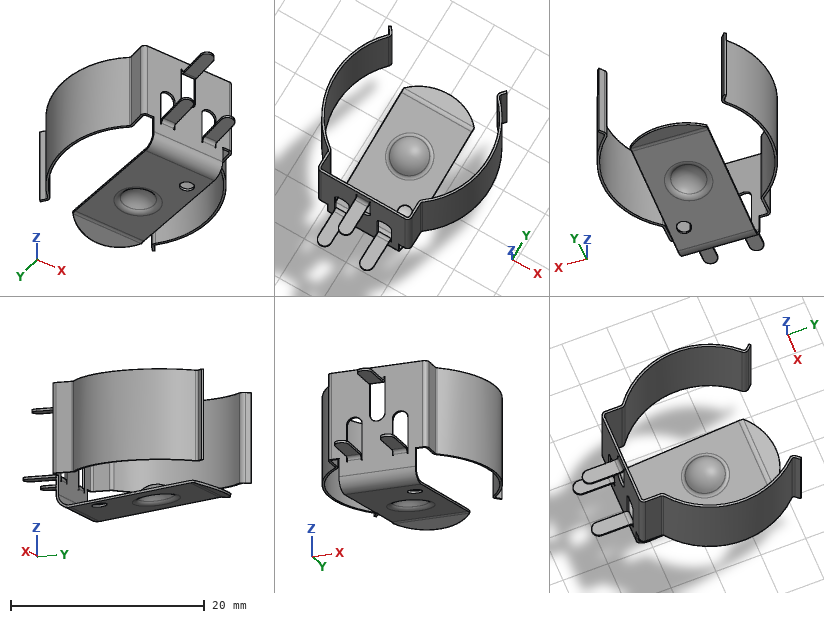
import cadquery as cq
import math

sheet = 0.25
overall_length = 21.55

band_height = 9.5
arc_outer_radius = 9.3
back_y = -9.87
neck_width = 11.11
band_bend = 0.39
arc_tip_angle = 43.9
tip_turn = 84

tongue_width = 8.47
tongue_drop = 2.02
tongue_bend = 1.3
tongue_rise = 7
tongue_length = 13.35
lip_slope = 15
lip_length = 2.0

dome_y = -0.43
dome_sphere_radius = 2.5
dome_foot_radius = 2.5
dome_fillet = 0.5
hole_y = -5.73
hole_diameter = 1.55

pin_pitch = 2.55
pin_width = 1.53
pin_tip_y = -14.09
pin_bend = 0.52
lower_pin_z = 0.13
upper_pin_z = 7.73
slot_width = 1.72
slot_length = 4.78
slot_relief = 0.09

back_mid_y = back_y + sheet / 2


def follow_sheet(start, heading, steps):
    """Walk the middle of a folded sheet; steps are ("line", length) or ("bend", radius, turn).

    Angles are in degrees, positive turns go left. Returns the closed outline of the
    sheet's cross-section as (first point, edges) and the end position and heading.
    """
    def point(centre, distance, angle):
        direction = math.radians(angle)
        return (centre[0] + distance * math.cos(direction), centre[1] + distance * math.sin(direction))

    def sides(position, angle):
        return point(position, sheet / 2, angle + 90), point(position, sheet / 2, angle - 90)

    position = start
    left_start, right_start = sides(start, heading)
    left_edges = []
    right_edges = []
    right_previous = right_start
    for step in steps:
        middle = None
        if step[0] == "line":
            position = point(position, step[1], heading)
        else:
            radius, turn = step[1:]
            inward = heading + math.copysign(90, turn)
            centre = point(position, radius, inward)
            middle = sides(point(centre, radius, inward + 180 + turn / 2), heading + turn / 2)
            position = point(centre, radius, inward + 180 + turn)
            heading += turn
        left, right = sides(position, heading)
        left_edges.append((middle[0] if middle else None, left))
        right_edges.insert(0, (middle[1] if middle else None, right_previous))
        right_previous = right
    edges = left_edges + [(None, right_previous)] + right_edges
    return (left_start, edges), position, heading


def draw_outline(workplane, outline):
    first, edges = outline
    sketch = workplane.moveTo(*first)
    for middle, end in edges:
        sketch = sketch.threePointArc(middle, end) if middle else sketch.lineTo(*end)
    return sketch.close()


def make_band():
    """Back wall, side walls and the two sprung arms, as a half and its mirror image."""
    arc_radius = arc_outer_radius - sheet / 2
    wall_x = (neck_width - sheet) / 2
    neck_angle = math.acos((wall_x + band_bend) / (arc_radius + band_bend))
    neck_y = -(arc_radius + band_bend) * math.sin(neck_angle)
    neck_turn = math.degrees(neck_angle)
    steps = [
        ("line", wall_x - band_bend),
        ("bend", band_bend, -90),
        ("line", neck_y - back_mid_y - band_bend),
        ("bend", band_bend, neck_turn),
        ("bend", arc_radius, -(neck_turn + arc_tip_angle)),
        ("bend", band_bend, tip_turn),
    ]
    _, (_, tip_y), tip_heading = follow_sheet((0, back_mid_y), 180, steps)
    tip_angle = math.radians(tip_heading)
    front_y = pin_tip_y + overall_length
    tip_length = (front_y - tip_y - sheet / 2 * abs(math.cos(tip_angle))) / math.sin(tip_angle)
    steps.append(("line", tip_length))
    outline = follow_sheet((0, back_mid_y), 180, steps)[0]
    half = draw_outline(cq.Workplane("XY"), outline).extrude(band_height)
    return half.union(half.mirror("YZ"))


def sloped_plane(position, angle):
    """Plane along the sheet whose local Y climbs towards +Y at the given angle; position is (Y, Z)."""
    tilt = math.radians(angle)
    return cq.Plane(origin=(0, *position), xDir=(1, 0, 0), normal=(0, -math.sin(tilt), math.cos(tilt)))


def make_tongue():
    """Tongue folded under the band, with a down-turned lip cut to an arc."""
    steps = [
        ("line", tongue_drop),
        ("bend", tongue_bend, 90 + tongue_rise),
        ("line", tongue_length),
        ("bend", tongue_bend, -(tongue_rise + lip_slope)),
    ]
    outline, lip_start, lip_heading = follow_sheet((back_mid_y, 0), -90, steps)
    strip = draw_outline(cq.Workplane("YZ"), outline).extrude(tongue_width / 2, both=True)
    lip = (
        cq.Workplane(sloped_plane(lip_start, lip_heading))
        .moveTo(-tongue_width / 2, 0)
        .threePointArc((0, lip_length), (tongue_width / 2, 0))
        .close()
        .extrude(sheet / 2, both=True)
    )
    return strip.union(lip)


def tongue_plane(y):
    """Plane on the upper face of the rising stretch of the tongue, at the given Y."""
    tilt = math.radians(tongue_rise)
    bend_centre_y = back_mid_y + tongue_bend
    inner_radius = tongue_bend - sheet / 2
    z = -tongue_drop - inner_radius / math.cos(tilt) + (y - bend_centre_y) * math.tan(tilt)
    return sloped_plane((y, z), tongue_rise)


def make_dome():
    """Hollow pressed dome: a spherical cap blended into the tongue by a concave foot."""
    reach = dome_sphere_radius + dome_fillet
    join_angle = math.asin(dome_foot_radius / reach)
    sphere_z = dome_fillet - reach * math.cos(join_angle)

    def on_sphere(radius, angle):
        return (radius * math.sin(angle), sphere_z + radius * math.cos(angle))

    def on_foot(radius, angle):
        return (dome_foot_radius - radius * math.sin(angle), dome_fillet - radius * math.cos(angle))

    section = tongue_plane(dome_y).rotated((90, 0, 0))
    inner_sphere = dome_sphere_radius - sheet
    inner_foot = dome_fillet + sheet
    return (
        cq.Workplane(section)
        .moveTo(*on_foot(dome_fillet, 0))
        .threePointArc(on_foot(dome_fillet, join_angle / 2), on_foot(dome_fillet, join_angle))
        .threePointArc(on_sphere(dome_sphere_radius, join_angle / 2), on_sphere(dome_sphere_radius, 0))
        .lineTo(*on_sphere(inner_sphere, 0))
        .threePointArc(on_sphere(inner_sphere, join_angle / 2), on_sphere(inner_sphere, join_angle))
        .threePointArc(on_foot(inner_foot, join_angle / 2), on_foot(inner_foot, 0))
        .close()
        .revolve(360, (0, 0), (0, 1))
    )


def tongue_hole(x, y, diameter):
    return cq.Workplane(tongue_plane(y)).center(x, 0).circle(diameter / 2).extrude(2 * sheet, both=True)


def make_slot(x, root_z, direction):
    """Cutter for a slot with a square end at the pin root and a round far end.

    direction is 1 for a slot running up from its root and -1 for one running down.
    """
    radius = slot_width / 2
    shoulder_z = root_z + direction * (slot_length - radius)
    return (
        cq.Workplane("XZ", origin=(x, back_mid_y, 0))
        .moveTo(-radius, root_z)
        .lineTo(-radius, shoulder_z)
        .threePointArc((0, root_z + direction * slot_length), (radius, shoulder_z))
        .lineTo(radius, root_z)
        .close()
        .extrude(sheet, both=True)
    )


def make_pin(x, root_z, direction):
    """Pin bent outwards from the slot's square end, with a full-round tip."""
    length = back_mid_y - pin_bend - pin_tip_y
    steps = [
        ("line", slot_relief),
        ("bend", pin_bend, direction * 90),
        ("line", length),
    ]
    outline = follow_sheet((back_mid_y, root_z), direction * 90, steps)[0]
    strip = draw_outline(cq.Workplane("YZ", origin=(x, 0, 0)), outline).extrude(pin_width / 2, both=True)
    pin_z = root_z + direction * (slot_relief + pin_bend)
    plan_length = 2 * length
    rounded_plan = (
        cq.Workplane("XY", origin=(x, pin_tip_y + plan_length / 2, pin_z))
        .slot2D(plan_length, pin_width, 90)
        .extrude(2 * (pin_bend + slot_relief), both=True)
    )
    return strip.intersect(rounded_plan)


lower_root_z = lower_pin_z - pin_bend - slot_relief
upper_root_z = upper_pin_z + pin_bend + slot_relief
pins = [(-pin_pitch, lower_root_z, 1), (0, upper_root_z, -1), (pin_pitch, lower_root_z, 1)]

result = make_band().union(make_tongue())
result = result.cut(tongue_hole(0, dome_y, 2 * dome_foot_radius)).union(make_dome())
result = result.cut(tongue_hole(pin_pitch, hole_y, hole_diameter))
for pin in pins:
    result = result.cut(make_slot(*pin)).union(make_pin(*pin))